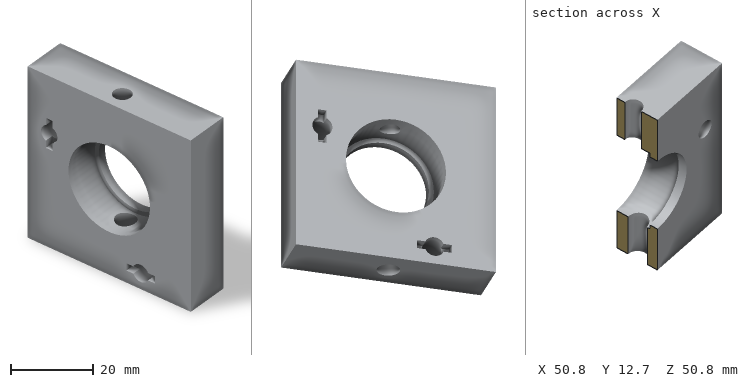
import cadquery as cq

side = 50.8
thickness = 12.7

bore_diameter = 25.4
lip_diameter = 22.85
lip_thickness = 2.45

upper_hole_diameter = 5.1
upper_hole_y = -1.2
lower_hole_diameter = 5.8
lower_hole_y = 0.15

cross_hole_diameter = 5.1
slot_length = 8.9
slot_width = 2.15
slot_depth = 2.55
left_hole_center = (-18.7, 8.15)
bottom_hole_center = (9.8, -20.75)

front_y = -thickness / 2


def front_cylinder(diameter, depth, center=(0, 0)):
    """Cylinder running from the front face into the plate."""
    x, z = center
    start = cq.Vector(x, front_y, z)
    return cq.Workplane(cq.Solid.makeCylinder(diameter / 2, depth, start, cq.Vector(0, 1, 0)))


def vertical_cylinder(diameter, y, direction):
    """Cylinder from the bore axis out through the top (+1) or bottom (-1) edge."""
    start = cq.Vector(0, y, 0)
    return cq.Workplane(
        cq.Solid.makeCylinder(diameter / 2, side / 2, start, cq.Vector(0, 0, direction))
    )


def slotted_hole(center, size_x, size_z):
    """Through hole with a blind rectangular slot centred on it."""
    x, z = center
    slot = cq.Workplane("XY").box(size_x, slot_depth, size_z)
    slot = slot.translate((x, front_y + slot_depth / 2, z))
    return front_cylinder(cross_hole_diameter, thickness, center).union(slot)


plate = cq.Workplane("XY").box(side, thickness, side)

plate = plate.cut(front_cylinder(lip_diameter, thickness))
plate = plate.cut(front_cylinder(bore_diameter, thickness - lip_thickness))

plate = plate.cut(vertical_cylinder(upper_hole_diameter, upper_hole_y, 1))
plate = plate.cut(vertical_cylinder(lower_hole_diameter, lower_hole_y, -1))

plate = plate.cut(slotted_hole(left_hole_center, slot_width, slot_length))
plate = plate.cut(slotted_hole(bottom_hole_center, slot_length, slot_width))

result = plate